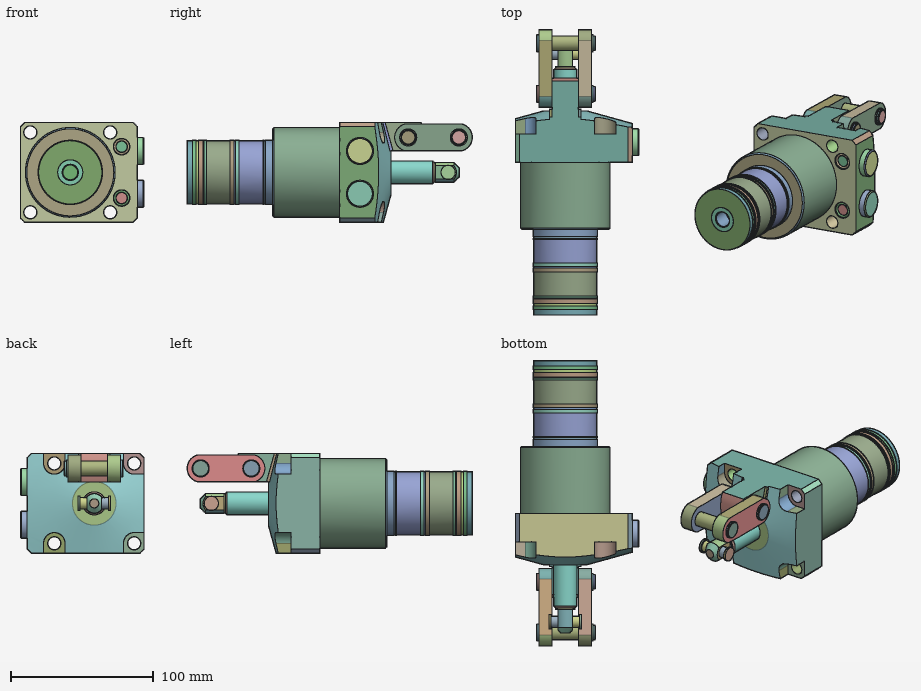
import cadquery as cq
import math


flange_left = -35.0
flange_right = 47.0
flange_half_height = 35.0
corner_chamfer = 3.0
crown_y = 36.1
crown_flat_radius = 15.3
crown_angle = 15.5

clearance = 1.0

bolt_offset = 28.0
bolt_diameter = 9.0
spot_face_radius = 7.5
spot_face_y = 20.0

plug_diameter = 19.0
plug_height = 4.8
plug_chamfer = 0.8
plug_y = 14.2
plug_z = 15.0

port_x = 36.0
port_z = 18.0
port_recess_diameter = 11.6
port_recess_depth = 1.4
seal_ring_radius = 4.8
seal_section_radius = 0.9

barrel_diameter = 63.0
barrel_end_y = -47.0
barrel_chamfer = 1.0
spigot_diameter = 44.4
spigot_end_y = -107.0
land_diameter = 45.2
land_spans = [
    (-51.9, barrel_end_y),
    (-53.9, -53.2),
    (-72.9, -70.5),
    (-76.8, -74.2),
    (-95.0, -93.5),
    (-98.9, -95.7),
    (-103.3, -100.7),
]
rear_recess_diameter = 17.6
rear_recess_depth = 0.2
rear_hole_diameter = 10.4
rear_hole_depth = 15.0
rear_hole_chamfer = 0.5

link_half_height = 9.5
link_end_overhang = 9.5
link_arc_rise = 7.6
link_thickness = 9.25
tongue_half_width = 9.25
link_z = 24.5
rear_pin_y = 48.0
front_pin_y = 83.5
pin_diameter = 10.4
head_diameter = 12.0
head_height = 1.8
clip_thickness = 1.0
pin_tail = 1.7
pin_chamfer = 0.5

tongue_height = 20.0
tongue_bottom_z = flange_half_height - tongue_height
tongue_tip_y = 59.1
tongue_edge_y = 57.0
pad_half_width = 11.2
pad_bottom_y = 37.4

rod_diameter = 16.2
rod_shoulder_y = 66.2
rod_chamfer = 1.2
tip_diameter = 14.0
tip_end_y = 83.8
tip_chamfer = 3.8
tip_start_y = 67.3
neck_diameter = 13.6
tip_width = 10.2
cross_pin_y = 76.0
cross_pin_diameter = 8.0
cross_head_diameter = 10.0
cross_head_thickness = 1.5
cross_pin_half_length = 11.5


def cylinder_y(diameter, y_start, y_end, x=0.0, z=0.0):
    """Cylinder along +Y between two Y positions."""
    base = cq.Workplane("XZ", origin=(x, y_start, z)).circle(diameter / 2)
    return base.extrude(y_start - y_end)


def cylinder_x(diameter, x_start, x_end, y, z):
    """Cylinder along +X between two X positions."""
    return cq.Workplane("YZ", origin=(x_start, y, z)).circle(diameter / 2).extrude(x_end - x_start)


def box_between(x_range, y_range, z_range):
    """Box given by its two limits along each axis."""
    size = [high - low for low, high in (x_range, y_range, z_range)]
    low_corner = (x_range[0], y_range[0], z_range[0])
    return cq.Workplane("XY").box(*size, centered=False).translate(low_corner)


def flange_block():
    """Chamfered block whose far side is a flat-topped cone."""
    block = box_between(
        (flange_left, flange_right), (0, crown_y), (-flange_half_height, flange_half_height)
    )
    block = block.edges("|Y").chamfer(corner_chamfer)
    cone_radius = math.hypot(flange_right, flange_half_height) + clearance
    cone_drop = (cone_radius - crown_flat_radius) * math.tan(math.radians(crown_angle))
    crown = (
        cq.Workplane("XY")
        .polyline(
            [
                (0, 0),
                (cone_radius, 0),
                (cone_radius, crown_y - cone_drop),
                (crown_flat_radius, crown_y),
                (0, crown_y),
            ]
        )
        .close()
        .revolve(360, (0, 0), (0, 1))
    )
    return block.intersect(crown)


def cut_bolt_holes(body):
    """Four bolt holes whose spot faces open outwards."""
    for x in (-bolt_offset, bolt_offset):
        for side in (-1, 1):
            z = side * bolt_offset
            z_range = sorted((z, side * (flange_half_height + clearance)))
            body = body.cut(cylinder_y(bolt_diameter, 0, crown_y, x, z))
            body = body.cut(cylinder_y(2 * spot_face_radius, spot_face_y, crown_y, x, z))
            slot_x = (x - spot_face_radius, x + spot_face_radius)
            body = body.cut(box_between(slot_x, (spot_face_y, crown_y), z_range))
            if x < 0:
                relief_x = (flange_left - clearance, x)
                relief_z = sorted((z - side * spot_face_radius, side * (flange_half_height + clearance)))
                body = body.cut(box_between(relief_x, (spot_face_y, crown_y), relief_z))
    return body


def tongue():
    """Tongue between the links, standing on a pad with a sloped front."""
    middle_z = (tongue_bottom_z + flange_half_height) / 2
    blade = (
        cq.Workplane("YZ")
        .moveTo(spot_face_y, tongue_bottom_z)
        .lineTo(tongue_edge_y, tongue_bottom_z)
        .threePointArc((tongue_tip_y, middle_z), (tongue_edge_y, flange_half_height))
        .lineTo(spot_face_y, flange_half_height)
        .close()
        .extrude(tongue_half_width, both=True)
    )
    pad_rise = tongue_height * math.tan(math.radians(crown_angle))
    pad = (
        cq.Workplane("YZ")
        .polyline(
            [
                (spot_face_y, tongue_bottom_z),
                (pad_bottom_y, tongue_bottom_z),
                (pad_bottom_y - pad_rise, flange_half_height),
                (spot_face_y, flange_half_height),
            ]
        )
        .close()
        .extrude(pad_half_width, both=True)
    )
    return blade.union(pad)


def plug(z):
    """Chamfered round plug on the +X side of the flange."""
    body = cylinder_x(plug_diameter, flange_right, flange_right + plug_height, plug_y, z)
    return body.faces(">X").edges().chamfer(plug_chamfer)


def add_port(body, z):
    """Port recess in the mounting face with a round seal ring standing in it."""
    body = body.cut(cylinder_y(port_recess_diameter, 0, port_recess_depth, port_x, z))
    ring = cq.Solid.makeTorus(
        seal_ring_radius,
        seal_section_radius,
        cq.Vector(port_x, seal_section_radius, z),
        cq.Vector(0, 1, 0),
    )
    return body.union(cq.Workplane(ring))


def barrel_and_spigot():
    """Barrel behind the flange and the stepped spigot with its raised lands."""
    body = cylinder_y(barrel_diameter, barrel_end_y, 0)
    body = body.faces("<Y").edges().chamfer(barrel_chamfer)
    body = body.union(cylinder_y(spigot_diameter, spigot_end_y, barrel_end_y))
    for y_start, y_end in land_spans:
        body = body.union(cylinder_y(land_diameter, y_start, y_end))
    hole_end_y = spigot_end_y + rear_hole_depth
    recess_floor_y = spigot_end_y + rear_recess_depth
    hole = cylinder_y(rear_hole_diameter, recess_floor_y, hole_end_y)
    mouth = cq.Workplane(
        cq.Solid.makeCone(
            rear_hole_diameter / 2 + rear_hole_chamfer,
            rear_hole_diameter / 2,
            rear_hole_chamfer,
            cq.Vector(0, recess_floor_y, 0),
            cq.Vector(0, 1, 0),
        )
    )
    recess = cylinder_y(rear_recess_diameter, spigot_end_y, recess_floor_y)
    return body.cut(recess).cut(hole).cut(mouth)


def piston_rod():
    """Rod with a flattened, chamfered tip that holds the cross pin."""
    rod = cylinder_y(rod_diameter, 0, rod_shoulder_y).faces(">Y").edges().chamfer(rod_chamfer)
    tip = cylinder_y(tip_diameter, tip_start_y, tip_end_y).faces(">Y").edges().chamfer(tip_chamfer)
    tip_half = tip_diameter / 2
    for x_range in ((-tip_half, -tip_width / 2), (tip_width / 2, tip_half)):
        tip = tip.cut(box_between(x_range, (tip_start_y, tip_end_y), (-tip_half, tip_half)))
    neck = cylinder_y(neck_diameter, rod_shoulder_y, tip_start_y)
    return rod.union(neck).union(tip)


def cross_pin():
    """Pin through the rod tip with a disc head at each end."""
    end = cross_pin_half_length
    pin = cylinder_x(cross_pin_diameter, -end, end, cross_pin_y, 0)
    for start in (-end, end - cross_head_thickness):
        pin = pin.union(cylinder_x(cross_head_diameter, start, start + cross_head_thickness, cross_pin_y, 0))
    return pin


def make_cylinder():
    """Flange, tongue, barrel, rod and rod cross pin as one solid."""
    body = flange_block()
    body = cut_bolt_holes(body)
    body = body.union(tongue()).union(barrel_and_spigot())
    for side in (-1, 1):
        body = body.union(plug(side * plug_z))
        body = add_port(body, side * port_z)
    body = body.union(piston_rod()).union(cross_pin())
    return body.cut(pin_bore(rear_pin_y))


def pin_bore(y):
    """Volume a link pin takes up inside the tongue and links."""
    reach = tongue_half_width + link_thickness
    return cylinder_x(pin_diameter, -reach, reach, y, link_z)


def make_link(inner_x):
    """Round-ended link plate, starting at inner_x and bored for both pins."""
    front_y = front_pin_y + link_end_overhang
    rear_y = rear_pin_y - link_end_overhang
    bottom_z = link_z - link_half_height
    top_z = link_z + link_half_height
    plate = (
        cq.Workplane("YZ", origin=(inner_x, 0, 0))
        .moveTo(rear_y + link_arc_rise, bottom_z)
        .lineTo(front_y - link_arc_rise, bottom_z)
        .threePointArc((front_y, link_z), (front_y - link_arc_rise, top_z))
        .lineTo(rear_y + link_arc_rise, top_z)
        .threePointArc((rear_y, link_z), (rear_y + link_arc_rise, bottom_z))
        .close()
        .extrude(link_thickness)
    )
    return plate.cut(pin_bore(rear_pin_y)).cut(pin_bore(front_pin_y))


def make_link_pin(y):
    """Headed pin with a retaining clip disc and a chamfered tail."""
    link_face = tongue_half_width + link_thickness
    tail_end = link_face + clip_thickness + pin_tail
    shank = cylinder_x(pin_diameter, -link_face, tail_end, y, link_z)
    shank = shank.faces(">X").edges().chamfer(pin_chamfer)
    head = cylinder_x(head_diameter, -link_face - head_height, -link_face, y, link_z)
    head = head.faces("<X").edges().chamfer(pin_chamfer)
    clip = cylinder_x(head_diameter, link_face, link_face + clip_thickness, y, link_z)
    return shank.union(head).union(clip)


cylinder = make_cylinder()
links = [make_link(x) for x in (-tongue_half_width - link_thickness, tongue_half_width)]
link_pins = [make_link_pin(y) for y in (rear_pin_y, front_pin_y)]

result = cq.Compound.makeCompound(
    [cylinder.val(), *[link.val() for link in links], *[pin.val() for pin in link_pins]]
)